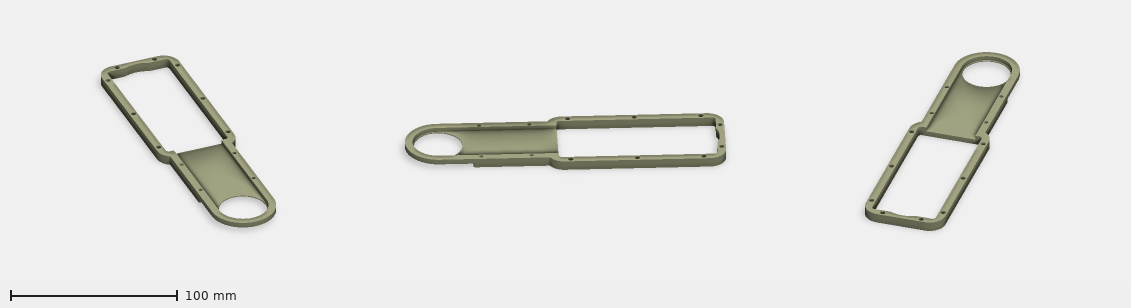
import cadquery as cq

length = 192.0
thickness = 6.0

frame_width = 50.0
frame_length = 107.1
frame_corner_radius = 10.0
rim = 5.0
opening_length = 95.5
opening_corner_radius = 2.0
opening_end = rim + opening_length
opening_width = frame_width - 2 * rim

relief_depth = 1.7
relief_half_width = 7.9

tongue_width = opening_width
tongue_radius = tongue_width / 2
tongue_center = length - tongue_radius
pocket_width = 30.7
pocket_depth = 2.7
round_hole_diameter = 29.0

step_start = 151.7
step_height = 2.7
step_corner_radius = 1.3

frame_hole_diameter = 3.0
frame_hole_xs = (13.6, 53.5, 93.5)
frame_hole_y = (frame_width - rim) / 2
end_hole_x = rim / 2
end_hole_y = 12.0
tongue_hole_diameter = 2.5
tongue_hole_xs = (116.7, 146.9)
tongue_hole_y = 17.0


def rounded_block(start, end, width, height, corner_radius):
    """Block on Z = 0, centered on Y, with rounded vertical edges."""
    return (
        cq.Workplane("XY")
        .box(end - start, width, height, centered=(False, True, False))
        .translate((start, 0, 0))
        .edges("|Z")
        .fillet(corner_radius)
    )


def round_ended_block(start, center, width, bottom, top):
    """Block from X = start, ending in a half circle about X = center."""
    radius = width / 2
    return (
        cq.Workplane("XY", origin=(0, 0, bottom))
        .moveTo(start, -radius)
        .lineTo(center, -radius)
        .threePointArc((center + radius, 0), (center, radius))
        .lineTo(start, radius)
        .close()
        .extrude(top - bottom)
    )


def through_holes(points, diameter):
    """Vertical cylinders spanning the full thickness."""
    return cq.Workplane("XY").pushPoints(points).circle(diameter / 2).extrude(thickness)


def make_opening():
    """Rounded rectangular window with an arc relief in its left side."""
    window = rounded_block(rim, opening_end, opening_width, thickness, opening_corner_radius)
    relief = (
        cq.Workplane("XY")
        .moveTo(rim, -relief_half_width)
        .threePointArc((rim - relief_depth, 0), (rim, relief_half_width))
        .close()
        .extrude(thickness)
    )
    return window.union(relief)


def make_tongue():
    """Thin round-ended plate over a thicker block that stops at the step."""
    tongue_start = (opening_end + frame_length) / 2
    plate = round_ended_block(tongue_start, tongue_center, tongue_width, step_height, thickness)
    lower_block = (
        cq.Workplane("XY")
        .box(step_start - tongue_start, tongue_width, step_height, centered=(False, True, False))
        .translate((tongue_start, 0, 0))
        .edges("|Z and >X")
        .fillet(step_corner_radius)
    )
    return plate.union(lower_block)


frame = rounded_block(0, frame_length, frame_width, thickness, frame_corner_radius)
pocket = round_ended_block(
    opening_end - opening_corner_radius,
    tongue_center,
    pocket_width,
    thickness - pocket_depth,
    thickness,
)

sides = (-1, 1)
frame_holes = [(x, side * frame_hole_y) for x in frame_hole_xs for side in sides]
end_holes = [(end_hole_x, side * end_hole_y) for side in sides]
tongue_holes = [(x, side * tongue_hole_y) for x in tongue_hole_xs for side in sides]

result = (
    frame.union(make_tongue())
    .cut(make_opening())
    .cut(pocket)
    .cut(through_holes([(tongue_center, 0)], round_hole_diameter))
    .cut(through_holes(frame_holes + end_holes, frame_hole_diameter))
    .cut(through_holes(tongue_holes, tongue_hole_diameter))
)